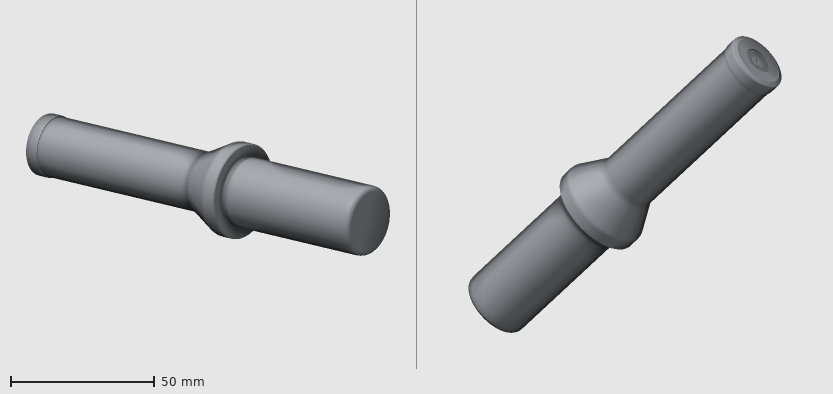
import cadquery as cq
import math

overall_length = 144.6

head_radius = 11.1
head_land_end = 4.6
head_length = 5.4
head_back_radius = 11.0
front_rim_radius = 9.4
front_rim_chamfer_depth = 0.65
head_edge_start = 1.0
head_edge_radius = 11.0
face_dish_radius = 8.5
face_dish_depth = 0.07

recess_radius = 5.0
recess_floor_radius = 3.9
recess_depth = 0.5
recess_step_depth = 0.1
boss_radius = 2.5
boss_height = 0.1
centre_dimple_radius = 0.7

neck_radius = 21.5 / 2
collar_radius = 10.7
neck_start = 6.7
neck_end = 70.3
cone_start = 72.5
cone_angle = math.radians(27.2)

flange_radius = 34.0 / 2
rim_start = 84.3
flange_end = 88.5
rim_round_length = 1.3
flange_chamfer = 0.36

shank_radius = 25.0 / 2
groove_radius = 24.5 / 2
groove_fillet = 0.6
groove_end = 90.0
groove_runout = 0.7
shank_round = 1.9
shank_relief_length = 0.9
shank_relief_depth = 0.07


def revolve_about_x(profile):
    return profile.close().revolve(360, (0, 0, 0), (1, 0, 0))


def make_cutting_head():
    recess_step = face_dish_depth + recess_depth
    recess_floor = recess_step + recess_step_depth
    boss_face = recess_floor - boss_height
    profile = (
        cq.Workplane("XY")
        .moveTo(head_length, 0)
        .lineTo(head_length, head_back_radius)
        .lineTo(head_land_end, head_radius)
        .lineTo(head_edge_start, head_radius)
        .lineTo(front_rim_chamfer_depth, head_edge_radius)
        .lineTo(0, front_rim_radius)
        .lineTo(face_dish_depth, face_dish_radius)
        .lineTo(face_dish_depth, recess_radius)
        .lineTo(recess_step, recess_radius)
        .lineTo(recess_step, recess_floor_radius)
        .lineTo(recess_floor, recess_floor_radius)
        .lineTo(recess_floor, boss_radius)
        .lineTo(boss_face, boss_radius)
        .lineTo(boss_face, centre_dimple_radius)
        .lineTo(boss_face + centre_dimple_radius, 0)
    )
    return revolve_about_x(profile)


def make_holder():
    half_turn = math.tan(cone_angle / 2)
    cone_start_radius = neck_radius + (cone_start - neck_end) * half_turn
    cone_end = rim_start - rim_round_length
    cone_end_radius = flange_radius - rim_round_length * half_turn
    round_start = overall_length - shank_round
    relief_radius = shank_radius - shank_relief_depth
    profile = (
        cq.Workplane("XY")
        .moveTo(head_length, 0)
        .lineTo(head_length, collar_radius)
        .lineTo(neck_start, neck_radius)
        .lineTo(neck_end, neck_radius)
        .tangentArcPoint((cone_start, cone_start_radius), relative=False)
        .lineTo(cone_end, cone_end_radius)
        .tangentArcPoint((rim_start, flange_radius), relative=False)
        .lineTo(flange_end - flange_chamfer, flange_radius)
        .lineTo(flange_end, flange_radius - flange_chamfer)
        .lineTo(flange_end, groove_radius + groove_fillet)
        .radiusArc((flange_end + groove_fillet, groove_radius), -groove_fillet)
        .lineTo(groove_end, groove_radius)
        .lineTo(groove_end + groove_runout, shank_radius)
        .lineTo(round_start - shank_relief_length, shank_radius)
        .lineTo(round_start, relief_radius)
        .radiusArc((overall_length, relief_radius - shank_round), shank_round)
        .lineTo(overall_length, 0)
    )
    return revolve_about_x(profile)


cutting_head = make_cutting_head()
holder = make_holder()

result = cq.Compound.makeCompound([cutting_head.val(), holder.val()])